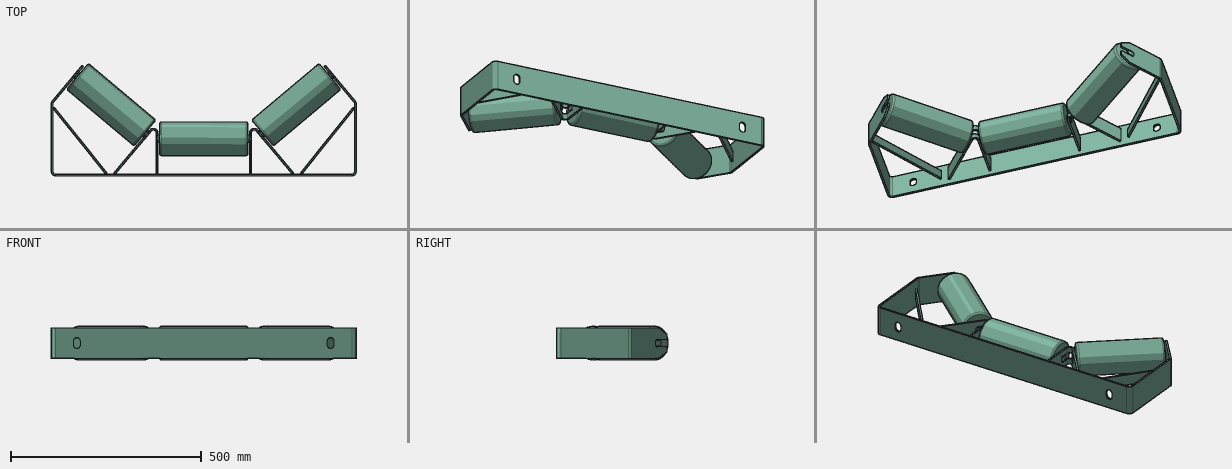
import cadquery as cq
import math

FRAME_LENGTH = 800.0
FRAME_HEIGHT = 80.0
BRACKET_HEIGHT = 50.0
BRACE_HEIGHT = 30.0
SHEET = 5.0
BEND_OUTER = 12.0
BEND_INNER = BEND_OUTER - SHEET
TROUGH_ANGLE = 40.0

ROLLER_DIAMETER = 89.0
ROLLER_LENGTH = 231.0
ROLLER_FILLET = 5.0
SHAFT_DIAMETER = 20.0
SHAFT_FLATS = 14.0
SHEET_GAP = 4.5
CENTRE_ROLLER_Y = 97.5
WING_ROLLER_X = 242.5
OVERALL_DEPTH = 293.08

SEAT_SLOT_WIDTH = 18.0
ARM_TIP = 30.0
TIP_WIDTH = 47.0
ARM_TAPER = 26.0

BOLT_SLOT_X = 332.5
BOLT_SLOT_WIDTH = 18.0
BOLT_SLOT_HEIGHT = 28.0

BRACE_ANGLE = 51.3
BRACE_LENGTH = 220.0

REACH = 60.0

COS = math.cos(math.radians(TROUGH_ANGLE))
SIN = math.sin(math.radians(TROUGH_ANGLE))
HALF_LENGTH = FRAME_LENGTH / 2
SEAT = ROLLER_LENGTH / 2 + SHEET_GAP
SHAFT_HALF = SEAT + SHEET
CORE_RADIUS = ROLLER_DIAMETER / 2 - ROLLER_FILLET
CORE_HALF = ROLLER_LENGTH / 2 - ROLLER_FILLET
WING_ROLLER_Y = OVERALL_DEPTH - CORE_HALF * SIN - CORE_RADIUS * COS - ROLLER_FILLET


def wing_point(along, up):
    """Point by the left wing roller: 'along' its axis toward the outside, 'up' square to it."""
    return (-WING_ROLLER_X - along * COS + up * SIN, WING_ROLLER_Y + along * SIN + up * COS)


def wing_up_at_x(along, x):
    """The 'up' value at which the line at 'along' reaches a given x."""
    return (x + WING_ROLLER_X + along * COS) / SIN


def wing_up_at_y(along, y):
    """The 'up' value at which the line at 'along' reaches a given y."""
    return (y - WING_ROLLER_Y - along * SIN) / COS


def extrude_sheet(points, height):
    return cq.Workplane("XY").polyline(points).close().extrude(height / 2, both=True)


def round_bend(sheet, point, radius):
    return sheet.edges(cq.selectors.NearestToPointSelector((*point, 0))).fillet(radius)


def seat_plane(origin, axis):
    """Workplane on a seat face: local x runs along Z, local y toward the open end of the slot."""
    x_sign = 1 if axis[0] < 0 else -1
    return cq.Workplane(cq.Plane(origin=(*origin, 0), xDir=(0, 0, x_sign), normal=(*axis, 0)))


def seat_slot(origin, axis, depth):
    """Open slot for a shaft, with a bottom that follows the shaft."""
    radius = SHAFT_DIAMETER / 2
    half = SEAT_SLOT_WIDTH / 2
    start = -math.sqrt(radius**2 - half**2)
    return (
        seat_plane(origin, axis)
        .moveTo(-half, REACH)
        .lineTo(-half, start)
        .threePointArc((0, -radius), (half, start))
        .lineTo(half, REACH)
        .close()
        .extrude(depth)
    )


def arm_corner(origin, axis, side):
    """Piece taken off one corner of a frame arm to taper it to the tip width."""
    edge = side * FRAME_HEIGHT / 2
    tip = side * TIP_WIDTH / 2
    beyond = side * FRAME_HEIGHT
    start = ARM_TIP - ARM_TAPER
    outline = [(edge, start), (tip, ARM_TIP), (tip, REACH), (beyond, REACH), (beyond, start)]
    return seat_plane(origin, axis).polyline(outline).close().extrude(SHEET)


def make_frame():
    wall = HALF_LENGTH - SHEET
    outer_bend = wing_point(SHAFT_HALF, wing_up_at_x(SHAFT_HALF, -HALF_LENGTH))
    inner_bend = wing_point(SEAT, wing_up_at_x(SEAT, -wall))
    left = [
        (-wall, SHEET),
        inner_bend,
        wing_point(SEAT, ARM_TIP),
        wing_point(SHAFT_HALF, ARM_TIP),
        outer_bend,
        (-HALF_LENGTH, 0),
    ]
    right = [(-x, y) for x, y in reversed(left)]
    frame = extrude_sheet(left + right, FRAME_HEIGHT)
    seat_x, seat_y = wing_point(SEAT, 0)
    for side in (1, -1):
        for x, y in ((-HALF_LENGTH, 0), outer_bend):
            frame = round_bend(frame, (side * x, y), BEND_OUTER)
        for x, y in ((-wall, SHEET), inner_bend):
            frame = round_bend(frame, (side * x, y), BEND_INNER)
        bolt_slot = (
            cq.Workplane("XZ")
            .center(side * BOLT_SLOT_X, 0)
            .slot2D(BOLT_SLOT_HEIGHT, BOLT_SLOT_WIDTH, 90)
            .extrude(-SHEET)
        )
        origin = (side * seat_x, seat_y)
        axis = (-side * COS, SIN)
        frame = frame.cut(bolt_slot).cut(seat_slot(origin, axis, SHEET))
        for corner_side in (1, -1):
            frame = frame.cut(arm_corner(origin, axis, corner_side))
    return frame


def make_left_bracket():
    leg_face = -SEAT
    leg_back = -SHAFT_HALF
    foot = wing_up_at_y(-SHAFT_HALF, SHEET)
    outer_apex = wing_point(-SEAT, wing_up_at_x(-SEAT, leg_face))
    inner_apex = wing_point(-SHAFT_HALF, wing_up_at_x(-SHAFT_HALF, leg_back))
    bracket = extrude_sheet(
        [
            (leg_face, SHEET),
            outer_apex,
            wing_point(-SEAT, foot),
            wing_point(-SHAFT_HALF, foot),
            inner_apex,
            (leg_back, SHEET),
        ],
        BRACKET_HEIGHT,
    )
    bracket = round_bend(bracket, outer_apex, BEND_OUTER)
    bracket = round_bend(bracket, inner_apex, BEND_INNER)
    seats = [((leg_face, CENTRE_ROLLER_Y), (-1, 0)), (wing_point(-SEAT, 0), (COS, -SIN))]
    for origin, axis in seats:
        bracket = bracket.cut(seat_slot(origin, axis, BEND_OUTER))
    return bracket


def make_left_brace():
    run = math.cos(math.radians(BRACE_ANGLE))
    rise = math.sin(math.radians(BRACE_ANGLE))
    top = (-HALF_LENGTH + SHEET, SHEET + BRACE_LENGTH * rise)
    bottom = (top[0] + BRACE_LENGTH * run, SHEET)
    shift_x = SHEET * rise
    shift_y = SHEET * run
    points = [
        top,
        bottom,
        (bottom[0] + shift_x, bottom[1] + shift_y),
        (top[0] + shift_x, top[1] + shift_y),
    ]
    return extrude_sheet(points, BRACE_HEIGHT)


def make_roller(x, y, angle):
    drum = (
        cq.Workplane("YZ", origin=(-ROLLER_LENGTH / 2, 0, 0))
        .circle(ROLLER_DIAMETER / 2)
        .extrude(ROLLER_LENGTH)
        .edges("%CIRCLE")
        .fillet(ROLLER_FILLET)
    )
    shaft = cq.Workplane("YZ").circle(SHAFT_DIAMETER / 2).extrude(SHAFT_HALF, both=True)
    neck = cq.Workplane("YZ").circle(SHAFT_DIAMETER / 2).extrude(SEAT, both=True)
    roller = drum.union(neck)
    for side in (1, -1):
        tongue = (
            cq.Workplane("YZ", origin=(side * SEAT, 0, 0))
            .rect(2 * SHAFT_DIAMETER, SHAFT_FLATS)
            .extrude(side * SHEET)
            .intersect(shaft)
        )
        roller = roller.union(tongue)
    return roller.rotate((0, 0, 0), (0, 0, 1), angle).translate((x, y, 0))


frame = make_frame()
left_bracket = make_left_bracket()
left_brace = make_left_brace()
bodies = [*frame.vals()]
for body in (left_bracket, left_brace):
    bodies += [body.val(), body.mirror("YZ").val()]
bodies.append(make_roller(0, CENTRE_ROLLER_Y, 0).val())
for side in (1, -1):
    bodies.append(make_roller(side * WING_ROLLER_X, WING_ROLLER_Y, side * TROUGH_ANGLE).val())
result = cq.Compound.makeCompound(bodies)